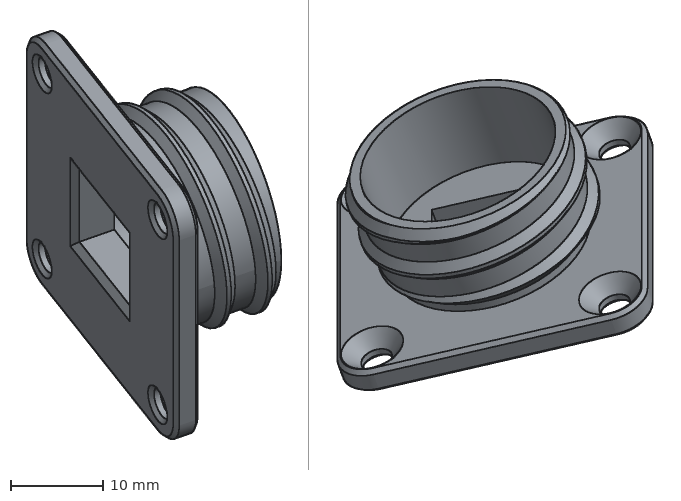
import cadquery as cq

flange_side = 35.0
flange_thickness = 3.0
edge_chamfer = 0.5
corner_radius = 4.1

screw_hole_diameter = 3.5
screw_hole_chamfer = 0.5
countersink_diameter = 7.0
screw_hole_spacing = flange_side - 2 * corner_radius

total_depth = 15.8
neck_radius = 22.4 / 2
barrel_radius = 24.4 / 2
neck_end = 4.0
barrel_start = neck_end + barrel_radius - neck_radius

thread_pitch = 5.0
thread_height = 0.98
thread_crest_width = 0.52
thread_turns = 4
thread_start = -1.2
thread_overlap = 0.25

window_width = 12.25
window_height = 11.0
window_mouth_width = 13.8
window_mouth_height = 12.8
window_mouth_depth = 0.75
bore_diameter = 22.0
bore_floor = 5.0


def make_flange():
    flange = (
        cq.Workplane("XY")
        .rect(flange_side, flange_side)
        .extrude(flange_thickness)
        .edges("|Z")
        .fillet(corner_radius)
        .faces("<Z or >Z")
        .chamfer(edge_chamfer)
    )
    hole_radius = screw_hole_diameter / 2
    countersink_radius = countersink_diameter / 2
    countersink_depth = countersink_radius - hole_radius
    mouth_radius = hole_radius + screw_hole_chamfer
    cutter = (
        cq.Workplane("XZ")
        .moveTo(0, 0)
        .lineTo(mouth_radius, 0)
        .lineTo(hole_radius, screw_hole_chamfer)
        .lineTo(hole_radius, flange_thickness - countersink_depth)
        .lineTo(countersink_radius, flange_thickness)
        .lineTo(0, flange_thickness)
        .close()
        .revolve(360, (0, 0), (0, 1))
        .val()
    )
    holes = (
        cq.Workplane("XY")
        .rect(screw_hole_spacing, screw_hole_spacing, forConstruction=True)
        .vertices()
        .eachpoint(lambda place: cutter.moved(place))
    )
    return flange.cut(holes)


def make_barrel():
    return (
        cq.Workplane("XZ")
        .moveTo(0, flange_thickness / 2)
        .lineTo(neck_radius, flange_thickness / 2)
        .lineTo(neck_radius, neck_end)
        .lineTo(barrel_radius, barrel_start)
        .lineTo(barrel_radius, total_depth)
        .lineTo(0, total_depth)
        .close()
        .revolve(360, (0, 0), (0, 1))
    )


def make_thread():
    """Helical ridge trimmed by 45 degree cones at the shoulder and the open end."""
    root_radius = barrel_radius - thread_overlap
    crest_radius = barrel_radius + thread_height
    half_crest = thread_crest_width / 2
    half_root = half_crest + crest_radius - root_radius
    path = cq.Wire.makeHelix(
        thread_pitch, thread_turns * thread_pitch, barrel_radius, center=cq.Vector(0, 0, thread_start)
    )
    ridge = (
        cq.Workplane("XZ")
        .moveTo(root_radius, thread_start - half_root)
        .lineTo(crest_radius, thread_start - half_crest)
        .lineTo(crest_radius, thread_start + half_crest)
        .lineTo(root_radius, thread_start + half_root)
        .close()
        .sweep(path, isFrenet=True)
    )
    envelope_radius = crest_radius + thread_height
    envelope = (
        cq.Workplane("XZ")
        .moveTo(0, neck_end)
        .lineTo(neck_radius, neck_end)
        .lineTo(envelope_radius, neck_end + envelope_radius - neck_radius)
        .lineTo(envelope_radius, total_depth - envelope_radius + barrel_radius)
        .lineTo(barrel_radius, total_depth)
        .lineTo(0, total_depth)
        .close()
        .revolve(360, (0, 0), (0, 1))
    )
    return ridge.intersect(envelope)


def make_opening():
    """Tapered window mouth, straight window and round bore as one cutter."""
    mouth = (
        cq.Workplane("XY")
        .rect(window_mouth_width, window_mouth_height)
        .workplane(offset=window_mouth_depth)
        .rect(window_width, window_height)
        .loft(ruled=True)
    )
    window = cq.Workplane("XY").rect(window_width, window_height).extrude(total_depth)
    bore = (
        cq.Workplane("XY")
        .workplane(offset=bore_floor)
        .circle(bore_diameter / 2)
        .extrude(total_depth - bore_floor)
    )
    return mouth.union(window).union(bore)


upright = make_flange().union(make_barrel()).union(make_thread()).cut(make_opening())
result = upright.rotate((0, 0, 0), (1, 0, 0), -90)